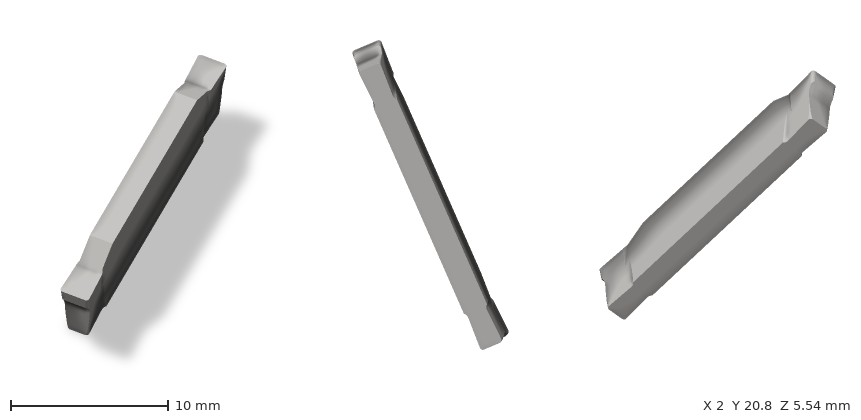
import cadquery as cq
import math


BODY_WIDTH = 1.6
BODY_HEIGHT = 5.54
TOP_FLAT_HALF_LENGTH = 6.31
TOP_SLOPE_ANGLE = 30.0
TOP_BLEND_RADIUS = 0.25

EDGE_WIDTH = 2.0
TIP_Y = 20.83 / 2
TIP_Z = 4.48
CORNER_RADIUS = 0.2
FRONT_RELIEF_ANGLE = 6.8
FLANK_TAPER_ANGLE = 2.5
FLANK_RELIEF_ANGLE = 3.0

LIP_HEIGHT = 1.0
ARC_BOTTOM_Z = 2.45

SHOULDER_Y = 8.09
SHOULDER_ANGLE = 23.0
SHOULDER_RUN = 0.5
FOOT_Y_BOTTOM = 7.575
FOOT_Y_UPPER = 7.67
FOOT_Z_UPPER = 2.84
RUNOUT_RADIUS = 0.4

FLANK_TAPER = math.tan(math.radians(FLANK_TAPER_ANGLE))
FLANK_RELIEF = math.tan(math.radians(FLANK_RELIEF_ANGLE))
FRONT_SLOPE = math.tan(math.radians(FRONT_RELIEF_ANGLE))
FOOT_SLOPE = (FOOT_Y_UPPER - FOOT_Y_BOTTOM) / FOOT_Z_UPPER
FRONT_Y = TIP_Y - FRONT_SLOPE * TIP_Z
SHARP_HALF_WIDTH = EDGE_WIDTH / 2 + FLANK_TAPER * CORNER_RADIUS
SLOPE_RUN = (BODY_HEIGHT - TIP_Z) / math.tan(math.radians(TOP_SLOPE_ANGLE))
SLOPE_FOOT_Y = TOP_FLAT_HALF_LENGTH + SLOPE_RUN


def flank_x(y, z):
    """Half width of the head on its flank plane."""
    return SHARP_HALF_WIDTH - FLANK_TAPER * (TIP_Y - y) - FLANK_RELIEF * (TIP_Z - z)


def front_y(z):
    """Y of the relieved front plane through the cutting edge."""
    return TIP_Y - FRONT_SLOPE * (TIP_Z - z)


def loft_between(bottom_wire, top_wire):
    return cq.Workplane(cq.Solid.makeLoft([bottom_wire, top_wire], True))


def side_profile():
    """Side outline of the insert, extruded over the full cutting width."""
    lip_bottom_z = TIP_Z - LIP_HEIGHT
    lip_bottom_y = front_y(lip_bottom_z)
    profile = (
        cq.Workplane("YZ", origin=(-EDGE_WIDTH / 2, 0, 0))
        .lineTo(FRONT_Y, 0)
        .lineTo(FRONT_Y, ARC_BOTTOM_Z)
        .tangentArcPoint((lip_bottom_y, lip_bottom_z), relative=False)
        .lineTo(TIP_Y, TIP_Z)
        .lineTo(SLOPE_FOOT_Y, TIP_Z)
        .lineTo(TOP_FLAT_HALF_LENGTH, BODY_HEIGHT)
        .lineTo(0, BODY_HEIGHT)
        .close()
        .extrude(EDGE_WIDTH)
    )
    slope_foot = cq.selectors.NearestToPointSelector((0, SLOPE_FOOT_Y, TIP_Z))
    return profile.edges("|X").edges(slope_foot).fillet(TOP_BLEND_RADIUS)


def head_section(z):
    """Plan outline of the head at height z, narrowing again behind the shoulder."""
    inner_y = SHOULDER_Y - SHOULDER_RUN
    shoulder_x = flank_x(SHOULDER_Y, z)
    inner_x = shoulder_x - SHOULDER_RUN * math.tan(math.radians(SHOULDER_ANGLE))
    tip_x = flank_x(front_y(z), z)
    right = [(inner_x, inner_y), (shoulder_x, SHOULDER_Y), (tip_x, front_y(z))]
    left = [(-x, y) for x, y in reversed(right)]
    return cq.Wire.makePolygon([cq.Vector(x, y, z) for x, y in right + left], close=True)


def head():
    """Tapered cutting head with rounded front corners."""
    block = loft_between(head_section(0), head_section(BODY_HEIGHT))
    for side in (-1, 1):
        middle_z = BODY_HEIGHT / 2
        corner_y = front_y(middle_z)
        corner = (side * flank_x(corner_y, middle_z), corner_y, middle_z)
        block = block.edges(cq.selectors.NearestToPointSelector(corner)).fillet(CORNER_RADIUS)
    return block


def runout_section(z):
    """Plan outline of the space beside the +X flank, ending in a concave runout."""
    foot_y = FOOT_Y_BOTTOM + FOOT_SLOPE * z
    foot = cq.Vector(flank_x(foot_y, z), foot_y, z)
    front = cq.Vector(flank_x(TIP_Y, z), TIP_Y, z)
    along = (front - foot).normalized()
    outward = cq.Vector(along.y, -along.x, 0)
    center = foot + outward * RUNOUT_RADIUS
    arc_middle = center - (along + outward).normalized() * RUNOUT_RADIUS
    arc_end = center - along * RUNOUT_RADIUS
    front_outer = front + outward * RUNOUT_RADIUS
    return cq.Wire.assembleEdges([
        cq.Edge.makeThreePointArc(arc_end, arc_middle, foot),
        cq.Edge.makeLine(foot, front),
        cq.Edge.makeLine(front, front_outer),
        cq.Edge.makeLine(front_outer, arc_end),
    ])


def half_insert():
    """The +Y half of the insert."""
    body = cq.Workplane().box(BODY_WIDTH, SHOULDER_Y, BODY_HEIGHT, centered=(True, False, False))
    runout = loft_between(runout_section(0), runout_section(BODY_HEIGHT))
    body = body.cut(runout).cut(runout.mirror("YZ"))
    return body.union(head()).intersect(side_profile())


half = half_insert()
result = half.union(half.mirror("XZ")).clean()